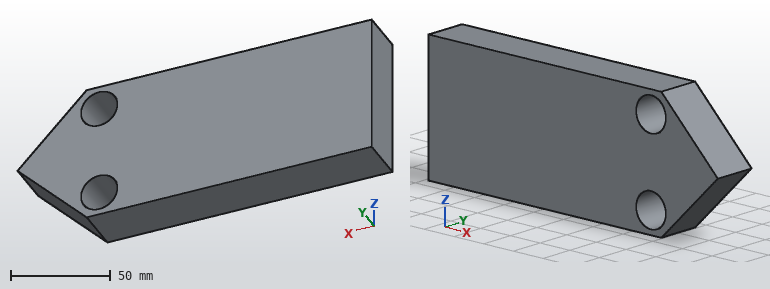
import cadquery as cq

length = 195.0
thickness = 25.4
height = 76.2

tip_length = height / 2
shoulder_x = length - tip_length

hole_diameter = 20.0
hole_spacing = 50.0
hole_x = 150.0


def pointed_plate():
    """Flat plate with a square end at X = 0 and a pointed end at +X."""
    outline = [
        (0, -height / 2),
        (shoulder_x, -height / 2),
        (length, 0),
        (shoulder_x, height / 2),
        (0, height / 2),
    ]
    return cq.Workplane("XZ").polyline(outline).close().extrude(thickness / 2, both=True)


def hole_pair():
    """Cylinders through the thickness, spaced evenly about the centreline."""
    centres = [(hole_x, -hole_spacing / 2), (hole_x, hole_spacing / 2)]
    return (
        cq.Workplane("XZ")
        .pushPoints(centres)
        .circle(hole_diameter / 2)
        .extrude(thickness / 2, both=True)
    )


result = pointed_plate().cut(hole_pair())